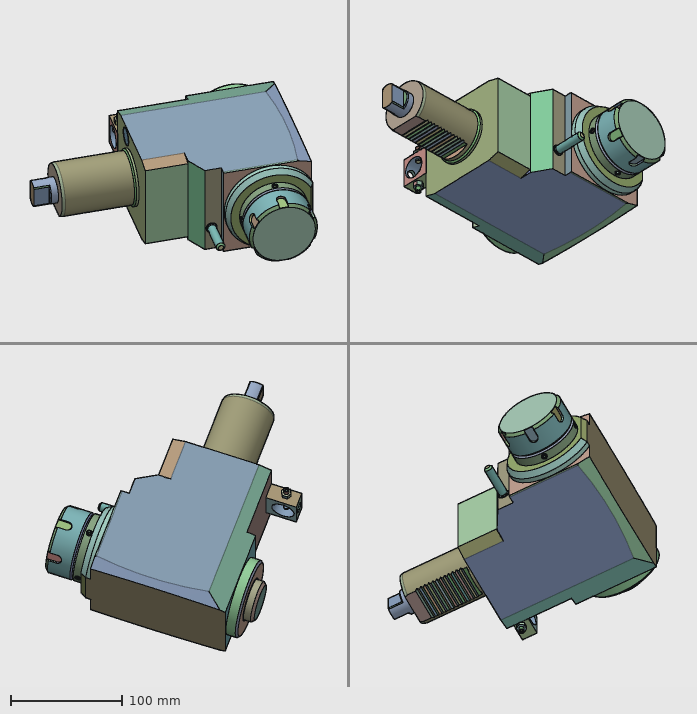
import cadquery as cq
import math


overall_length = 240

height = 88.0
half_height = height / 2
body_back = 147.5
lower_left = -46.8
lower_right = 47.3
upper_left = -55.0
upper_right = 73.5
shelf_right = 65.5
step_y = 65.8
ramp_start_y = 39.8
ramp_angle = 30
bevel_angle = 15
bevel_start = 35.0
edge_bevel = 1.5
crown_radius = 328.8
crown_x = 18.2
crown_front_y = 139.5
plug_x = -18.5
plug_z = 32.2
plug_radius = 8.6
plug_recess = 0.5

spindle_y = 109.5
flange_radius = 43.2
flange_rim = 4.5
flange_taper_length = 5.8
flange_taper_angle = 30
nut_radius = 31.7
nut_ring_end = 92.2
nut_groove_width = 3.0
nut_groove_depth = 1.5
nut_end = 119.3
nut_chamfer = 2.6
slot_count = 6
slot_width = 8.5
slot_length = 14.5
slot_depth = 2.5
ring_hole_x = 88.0
ring_hole_radius = 1.5
ring_hole_depth = 3.5
ring_recess_radius = 2.6
ring_recess_depth = 1.0
ring_hole_count = 4

cover_radius = 36.5
cover_thickness = 10.8
cover_chamfer = 2.0
cap_radius = 19.2
cap_thickness = 9.0
cap_chamfer = 2.6
cap_groove_radius = 20.2
cap_groove_depth = 0.7

pin_y = 56.6
pin_z = -20.6
pin_radius = 4.0
pin_length = 32.0
pin_chamfer = 1.7
pin_collar_radius = 5.0
pin_collar_length = 1.7

shank_radius = 25.0
shank_length = 71.0
shank_lead_in = 3.0
shank_end_radius = 24.2
collar_radius = 26.6
collar_straight = 2.5
collar_length = 3.8
flat_depth = 19.7
flat_start = 8.0
notch_span = 44.2
notch_depth = 1.2
notch_count = 12
notch_pitch = notch_span / (notch_count - 1)
first_notch = 13.7
tang_radius = 12
tang_shoulder = 78.5
tang_end = overall_length - body_back
tang_half_width = 6.5
tang_flat_half_height = 9.0
tang_edge_width = 0.3
tang_edge_height = 0.6
tang_shoulder_chamfer = 1.0

block_left = -75.8
block_front = 0.5
block_back = 15.4
block_half_height = 15.0
bore_x = -63.0
bore_radius = 10.5
port_radius = 4.8
port_end = -51.0
screw_y = 6.2
nut_across_corners = 9.4
nut_height = 4.5
screw_radius = 2.5
screw_outer_end = 24.5
screw_inner_end = 9.0
socket_across_corners = 3.0
socket_depth = 2.0
pilot_radius = 1.5
pilot_depth = 2.5


def cylinder_x(x, y, z, radius, length):
    """Cylinder whose axis runs along +X from the given point."""
    return cq.Workplane("YZ", origin=(x, y, z)).circle(radius).extrude(length)


def cylinder_y(x, y, z, radius, length):
    """Cylinder whose axis runs along -Y from the given point."""
    return cq.Workplane("XZ", origin=(x, y, z)).circle(radius).extrude(length)


def beveled_bar(left, right, left_bevel, right_bevel, y_start, y_end):
    """Bar along Y whose top and bottom slope down beside both side faces."""
    slope = math.tan(math.radians(bevel_angle))
    left_half = half_height - left_bevel * slope
    right_half = half_height - right_bevel * slope
    section = [
        (left, -left_half),
        (left + left_bevel, -half_height),
        (right - right_bevel, -half_height),
        (right, -right_half),
        (right, right_half),
        (right - right_bevel, half_height),
        (left + left_bevel, half_height),
        (left, left_half),
    ]
    bar = cq.Workplane("XZ", origin=(0, y_start, 0)).polyline(section).close()
    return bar.extrude(y_start - y_end)


def make_body():
    lower = beveled_bar(
        lower_left, lower_right, -bevel_start - lower_left, lower_right - bevel_start, 0, ramp_start_y
    )
    upper = beveled_bar(
        upper_left, upper_right, -bevel_start - upper_left, edge_bevel, ramp_start_y, body_back
    )
    ramp_end_y = ramp_start_y + (shelf_right - lower_right) * math.tan(math.radians(ramp_angle))
    upper_plan = [
        (lower_left, ramp_start_y),
        (lower_right, ramp_start_y),
        (shelf_right, ramp_end_y),
        (shelf_right, step_y),
        (upper_right, step_y),
        (upper_right, body_back),
        (upper_left, body_back),
        (upper_left, step_y),
        (lower_left, step_y),
    ]
    plan = cq.Workplane("XY", origin=(0, 0, -half_height)).polyline(upper_plan).close()
    body = lower.union(upper.intersect(plan.extrude(height)))

    rim_radius = crown_radius + half_height / math.tan(math.radians(bevel_angle))
    crown = (
        cq.Workplane("XZ", origin=(crown_x, crown_front_y - crown_radius, 0))
        .polyline([(0, -half_height), (crown_radius, -half_height), (rim_radius, 0),
                   (crown_radius, half_height), (0, half_height)])
        .close()
        .revolve(360, (0, 0), (0, 1))
    )
    plug = cylinder_y(plug_x, plug_recess, plug_z, plug_radius, plug_recess)
    return body.intersect(crown).cut(plug)


def make_flange():
    """Round flange cut flush with the back of the body and tapered at its free end."""
    flat_y = body_back - spindle_y
    flat_z = math.sqrt(flange_radius**2 - flat_y**2)

    def outline(x):
        plane = cq.Workplane("YZ", origin=(x, spindle_y, 0)).moveTo(flat_y, -flat_z)
        return plane.lineTo(flat_y, flat_z).threePointArc((-flange_radius, 0), (flat_y, -flat_z)).close()

    rim = outline(upper_right).extrude(flange_rim)
    return rim.union(outline(upper_right + flange_rim).extrude(flange_taper_length, taper=flange_taper_angle))


def make_nut():
    start = upper_right + flange_rim + flange_taper_length
    nut = cylinder_x(start, spindle_y, 0, nut_radius, nut_end - start).faces(">X").chamfer(nut_chamfer)
    groove = (
        cq.Workplane("XY", origin=(0, spindle_y, 0))
        .polyline([(nut_ring_end, nut_radius),
                   (nut_ring_end + nut_groove_width / 2, nut_radius - nut_groove_depth),
                   (nut_ring_end + nut_groove_width, nut_radius)])
        .close()
        .revolve(360, (0, 0), (1, 0))
    )
    nut = nut.cut(groove)

    slot_floor = nut_radius - slot_depth
    round_x = nut_end - slot_length + slot_width / 2
    slot = (
        cq.Workplane("XY", origin=(0, spindle_y, slot_floor))
        .moveTo(nut_end, -slot_width / 2)
        .lineTo(round_x, -slot_width / 2)
        .threePointArc((nut_end - slot_length, 0), (round_x, slot_width / 2))
        .lineTo(nut_end, slot_width / 2)
        .close()
        .extrude(2 * slot_depth)
    )
    hole_bottom = cq.Workplane("XY", origin=(ring_hole_x, spindle_y, nut_radius - ring_hole_depth))
    recess_bottom = cq.Workplane("XY", origin=(ring_hole_x, spindle_y, nut_radius - ring_recess_depth))
    hole = (
        hole_bottom.circle(ring_hole_radius)
        .extrude(ring_hole_depth)
        .union(recess_bottom.circle(ring_recess_radius).extrude(2 * ring_recess_depth))
    )
    axis = ((0, spindle_y, 0), (1, spindle_y, 0))
    for i in range(slot_count):
        nut = nut.cut(slot.rotate(*axis, 360 / slot_count * i))
    for i in range(ring_hole_count):
        nut = nut.cut(hole.rotate(*axis, 360 / ring_hole_count * i))
    return nut


def make_cover():
    cover_left = upper_left - cover_thickness
    cap_left = cover_left - cap_thickness
    cover = cylinder_x(cover_left, spindle_y, 0, cover_radius, cover_thickness)
    cap = cylinder_x(cap_left, spindle_y, 0, cap_radius, cap_thickness)
    cap = cap.faces("<X").chamfer(cap_chamfer)
    groove = cylinder_x(cover_left, spindle_y, 0, cap_groove_radius, cap_groove_depth)
    neck = cylinder_x(cover_left, spindle_y, 0, cap_radius, cap_groove_depth)
    return cover.faces("<X").chamfer(cover_chamfer).cut(groove).union(neck).union(cap)


def make_pin():
    pin = cylinder_x(shelf_right, pin_y, pin_z, pin_radius, pin_length).faces(">X").chamfer(pin_chamfer)
    collar = cylinder_x(shelf_right, pin_y, pin_z, pin_collar_radius, pin_collar_length)
    return pin.union(collar.faces(">X").chamfer(pin_collar_length / 2))


def make_shank():
    shank = (
        cq.Workplane("XY")
        .polyline([(0, 0), (shank_radius, 0), (shank_radius, shank_lead_in - shank_length),
                   (shank_end_radius, -shank_length), (0, -shank_length)])
        .close()
        .revolve(360, (0, 0), (0, 1))
    )

    below_flat = (
        cq.Workplane("XY")
        .box(2 * shank_radius, shank_length - flat_start, shank_radius, centered=(True, False, False))
        .translate((0, -shank_length, -flat_depth - shank_radius))
    )
    shank = shank.cut(below_flat)
    for i in range(notch_count):
        y = -first_notch - notch_pitch * i
        notch = [
            (y - notch_pitch / 2, -flat_depth),
            (y, -flat_depth + notch_depth),
            (y + notch_pitch / 2, -flat_depth),
        ]
        cutter = cq.Workplane("YZ").polyline(notch).close().extrude(shank_radius, both=True)
        shank = shank.cut(cutter)

    collar = (
        cq.Workplane("XY")
        .polyline([(0, 0), (collar_radius, 0), (collar_radius, -collar_straight),
                   (shank_radius, -collar_length), (0, -collar_length)])
        .close()
        .revolve(360, (0, 0), (0, 1))
    )
    return shank.union(collar)


def make_tang():
    """Round stub that carries a drive tang with two flats and sloped flat edges."""
    stub = cylinder_y(0, -shank_length, 0, tang_radius, tang_shoulder - shank_length)
    stub = stub.faces("<Y").chamfer(tang_shoulder_chamfer)

    edge_rise = tang_radius - tang_flat_half_height
    top_half_width = tang_half_width - edge_rise * tang_edge_width / tang_edge_height
    section = [
        (tang_half_width, -tang_flat_half_height),
        (tang_half_width, tang_flat_half_height),
        (top_half_width, tang_radius),
        (-top_half_width, tang_radius),
        (-tang_half_width, tang_flat_half_height),
        (-tang_half_width, -tang_flat_half_height),
        (-top_half_width, -tang_radius),
        (top_half_width, -tang_radius),
    ]
    length = tang_end - shank_length
    flats = cq.Workplane("XZ", origin=(0, -shank_length, 0)).polyline(section).close().extrude(length)
    return stub.union(flats.intersect(cylinder_y(0, -shank_length, 0, tang_radius, length)))


def make_coolant_block():
    width = lower_left - block_left
    depth = block_back - block_front
    block = (
        cq.Workplane("XY")
        .box(width, depth, 2 * block_half_height, centered=(False, False, True))
        .translate((block_left, block_front, 0))
    )
    bore = cylinder_y(bore_x, block_back, 0, bore_radius, depth)
    port_y = (block_front + block_back) / 2
    port = cylinder_x(block_left, port_y, 0, port_radius, port_end - block_left)
    pilot = cylinder_x(port_end, port_y, 0, pilot_radius, pilot_depth)
    block = block.cut(bore).cut(port).cut(pilot)

    for side in (-1, 1):
        nut_plane = cq.Workplane("XY", origin=(bore_x, screw_y, side * block_half_height))
        inner_plane = cq.Workplane("XY", origin=(bore_x, screw_y, side * screw_inner_end))
        outer_plane = cq.Workplane("XY", origin=(bore_x, screw_y, side * screw_outer_end))
        nut = nut_plane.polygon(6, nut_across_corners).extrude(side * nut_height)
        screw = inner_plane.circle(screw_radius).extrude(side * (screw_outer_end - screw_inner_end))
        socket = outer_plane.polygon(6, socket_across_corners).extrude(-side * socket_depth)
        block = block.union(nut).union(screw).cut(socket)
    return block


result = make_body()
for feature in (
    make_flange(), make_nut(), make_cover(), make_pin(), make_shank(), make_tang(), make_coolant_block()
):
    result = result.union(feature)